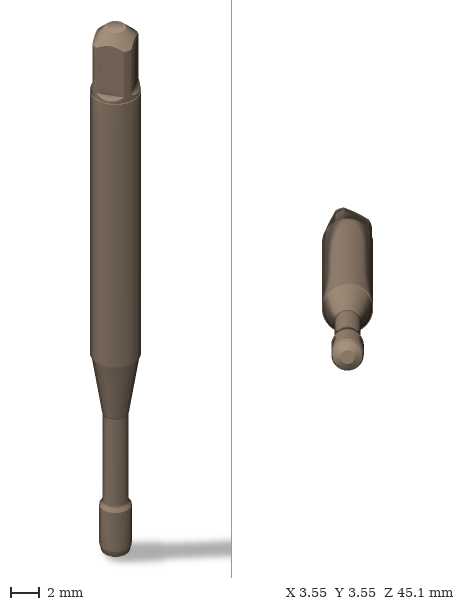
import cadquery as cq

total_length = 45.1

square_flats = 2.8
square_corner_diameter = 3.45
square_tip_diameter = 1.45
square_flat_bottom = 40.25
square_step = 39.75

shank_diameter = 3.55
shank_bottom = 17.2
taper_top_diameter = 3.45
taper_bottom_diameter = 1.9
taper_bottom = 12.2
taper_bevel_bottom = 12.1
neck_diameter = 1.8
neck_bottom = 4.7

collar_top_diameter = 1.85
collar_bevel_top = 4.55
collar_bevel_bottom = 4.25

head_diameter = 2.25
head_top = 4.1
lead_top = 0.9
lead_bottom_diameter = 2.05
lead_bottom = 0.4
point_diameter = 1.0


def turned(half_profile):
    """Revolve a closed (radius, height) outline about the Z axis."""
    return (
        cq.Workplane("XZ")
        .polyline(half_profile)
        .close()
        .revolve(360, (0, 0, 0), (0, 1, 0))
    )


def square_flat_cutter():
    """Waste beyond the +X flat: the flat ends in a 45 degree run-out."""
    flat_x = square_flats / 2
    outer_x = shank_diameter
    runout_depth = (square_corner_diameter - square_flats) / 2
    runout_x = flat_x + runout_depth
    runout_bottom = square_flat_bottom - runout_depth
    return (
        cq.Workplane("XZ")
        .moveTo(flat_x, total_length)
        .lineTo(flat_x, square_flat_bottom)
        .lineTo(runout_x, runout_bottom)
        .lineTo(outer_x, runout_bottom)
        .lineTo(outer_x, total_length)
        .close()
        .extrude(shank_diameter, both=True)
    )


def make_shank():
    """Collar, neck, taper, shank and drive square, turned in one piece."""
    tip_radius = square_tip_diameter / 2
    corner_radius = square_corner_diameter / 2
    chamfer_bottom = total_length - (corner_radius - tip_radius)
    body = turned([
        (0, head_top),
        (head_diameter / 2, head_top),
        (head_diameter / 2, collar_bevel_bottom),
        (collar_top_diameter / 2, collar_bevel_top),
        (neck_diameter / 2, neck_bottom),
        (neck_diameter / 2, taper_bevel_bottom),
        (taper_bottom_diameter / 2, taper_bottom),
        (taper_top_diameter / 2, shank_bottom),
        (shank_diameter / 2, shank_bottom),
        (shank_diameter / 2, square_step),
        (corner_radius, square_step),
        (corner_radius, chamfer_bottom),
        (tip_radius, total_length),
        (0, total_length),
    ])
    for angle in (0, 90, 180, 270):
        body = body.cut(square_flat_cutter().rotate((0, 0, 0), (0, 0, 1), angle))
    return body


def make_cutting_head():
    """Cutting head with a tapered lead and a blunt point."""
    return turned([
        (0, 0),
        (point_diameter / 2, 0),
        (lead_bottom_diameter / 2, lead_bottom),
        (head_diameter / 2, lead_top),
        (head_diameter / 2, head_top),
        (0, head_top),
    ])


shank = make_shank()
cutting_head = make_cutting_head()

result = cq.Compound.makeCompound([shank.val(), cutting_head.val()])